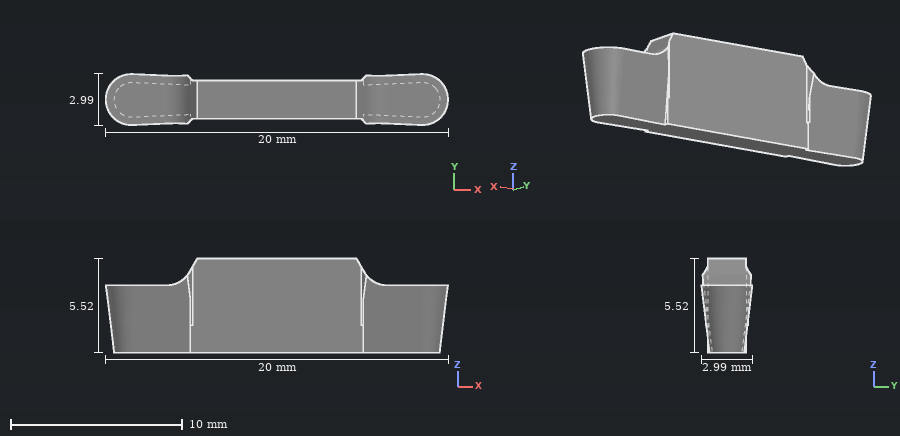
import cadquery as cq
import math

LENGTH = 19.98
HEIGHT = 5.52

HEAD_HEIGHT = 3.95
NOSE_RADIUS = 1.495
SIDE_RELIEF_ANGLE = 7.0
BACK_TAPER_ANGLE = 2.5

BODY_WIDTH = 2.24
BODY_HALF_LENGTH = 5.04

TOP_HALF_LENGTH = 4.64
RAMP_ANGLE = 60.0
RAMP_FILLET = 1.5

SHOULDER_END = 4.92
SHOULDER_BOTTOM = 1.6

BODY_HALF_WIDTH = BODY_WIDTH / 2
HALF_LENGTH = LENGTH / 2
NOSE_CENTRE = HALF_LENGTH - NOSE_RADIUS
RELIEF_SLOPE = math.tan(math.radians(SIDE_RELIEF_ANGLE))
BACK_TAPER = math.radians(BACK_TAPER_ANGLE)

CLEARANCE = 1.0


def head_outline(z):
    """Plan outline of one head at height z: a round nose with flanks narrowing towards the body."""
    radius = NOSE_RADIUS + (z - HEAD_HEIGHT) * RELIEF_SLOPE
    tangent_x = NOSE_CENTRE - radius * math.sin(BACK_TAPER)
    tangent_y = radius * math.cos(BACK_TAPER)
    root_y = tangent_y - (tangent_x - SHOULDER_END) * math.tan(BACK_TAPER)
    return (
        cq.Workplane("XY", origin=(0, 0, z))
        .moveTo(SHOULDER_END, -root_y)
        .lineTo(tangent_x, -tangent_y)
        .threePointArc((NOSE_CENTRE + radius, 0), (tangent_x, tangent_y))
        .lineTo(SHOULDER_END, root_y)
        .close()
    )


def flared_block(outer_x, bottom, top):
    """Block that is as wide as the body at SHOULDER_END and widens at 45 degrees out to outer_x."""
    outer_half_width = BODY_HALF_WIDTH + outer_x - SHOULDER_END
    return (
        cq.Workplane("XY", origin=(0, 0, bottom))
        .polyline([
            (SHOULDER_END, -BODY_HALF_WIDTH),
            (outer_x, -outer_half_width),
            (outer_x, outer_half_width),
            (SHOULDER_END, BODY_HALF_WIDTH),
        ])
        .close()
        .extrude(top - bottom)
    )


def make_head():
    """Relieved head, cut back at 45 degrees beside the body."""
    outlines = [head_outline(0).val(), head_outline(HEIGHT).val()]
    head = cq.Workplane(cq.Solid.makeLoft(outlines, True))
    return head.intersect(flared_block(HALF_LENGTH + CLEARANCE, 0, HEIGHT))


def make_body_half():
    """Half of the central body with small shoulder wedges on the upper part of its end corners."""
    body = cq.Workplane("XY").box(BODY_HALF_LENGTH, BODY_WIDTH, HEIGHT, centered=(False, True, False))
    return body.union(flared_block(BODY_HALF_LENGTH, SHOULDER_BOTTOM, HEIGHT))


def make_side_envelope():
    """Solid bounded by the side outline of one half: flat head top, concave fillet, ramp and flat body top."""
    ramp = math.radians(RAMP_ANGLE)
    foot_x = TOP_HALF_LENGTH + (HEIGHT - HEAD_HEIGHT) / math.tan(ramp)
    tangent_length = RAMP_FILLET * math.tan(ramp / 2)
    fillet_start = (foot_x + tangent_length, HEAD_HEIGHT)
    fillet_mid = (
        fillet_start[0] - RAMP_FILLET * math.sin(ramp / 2),
        HEAD_HEIGHT + RAMP_FILLET * (1 - math.cos(ramp / 2)),
    )
    fillet_end = (
        foot_x - tangent_length * math.cos(ramp),
        HEAD_HEIGHT + tangent_length * math.sin(ramp),
    )
    reach = HALF_LENGTH + CLEARANCE
    return (
        cq.Workplane("XZ")
        .moveTo(0, 0)
        .lineTo(reach, 0)
        .lineTo(reach, HEAD_HEIGHT)
        .lineTo(*fillet_start)
        .threePointArc(fillet_mid, fillet_end)
        .lineTo(TOP_HALF_LENGTH, HEIGHT)
        .lineTo(0, HEIGHT)
        .close()
        .extrude(NOSE_RADIUS + CLEARANCE, both=True)
    )


half = make_body_half().union(make_head()).intersect(make_side_envelope())
result = half.union(half.mirror("YZ"))